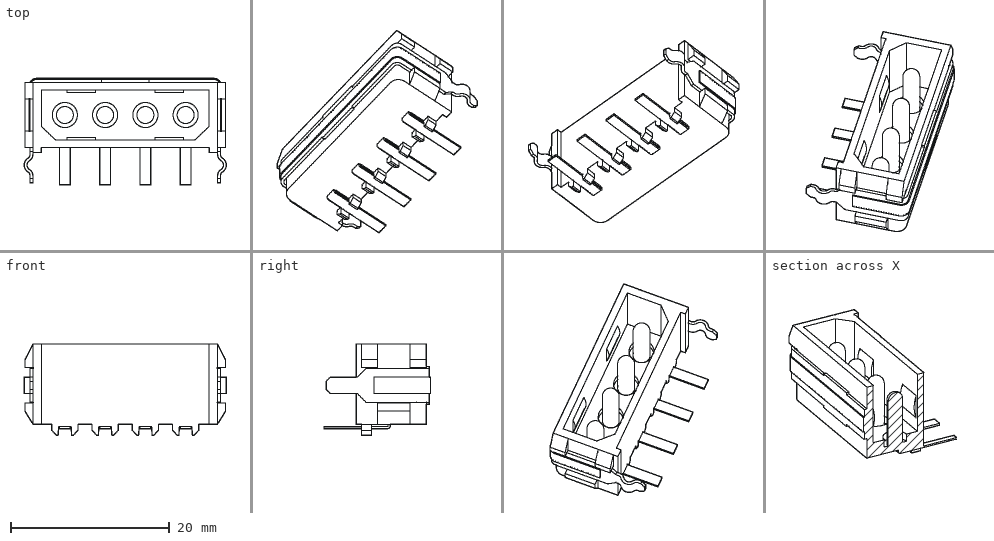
import cadquery as cq
import math

HOUSING_HALF_X = 11.62
HOUSING_HALF_Y = 4.1
HOUSING_HEIGHT = 10.15
LOWER_CORNER_RADIUS = 1.27

CAVITY_HALF_X = 10.58
CAVITY_HALF_Y = 3.15
CAVITY_CUT_X = 1.8
CAVITY_CUT_Y = 1.73
FLOOR_Z = 2.05

RIB_DEPTH = 0.64

BUMP_CENTER_X = 5.55
BUMP_WIDTH = 3.57
BUMP_TOP_Z = 6.95
BUMP_BOTTOM_Z = 3.8
BUMP_DEPTH = 0.3

LUG_HALF_X = 12.65
LUG_INNER_Y = 2.05
UPPER_LUG_BOTTOM_Z = 7.14
UPPER_LUG_SLOPE_Z = 8.15
LOWER_LUG_TOP_Z = 2.7
LOWER_LUG_SLOPE_Z = 1.65

CONTACT_COUNT = 4
CONTACT_PITCH = 5.07
PIN_RADIUS = 1.07
PIN_TOP_Z = 8.35
PIN_RECESS_RADIUS = 1.58
PIN_RECESS_DEPTH = 1.02
TAIL_WIDTH = 1.38
TAIL_THICKNESS = 0.28
TAIL_BACK_Y = -0.43
TAIL_FRONT_Y = -8.82
TAIL_BEND_RADIUS = 0.38

FOOT_HALF_X = 1.65
FOOT_BACK_Y = -2.8
FOOT_BOTTOM_Z = -1.38
FOOT_TAPER_Z = -0.75
FOOT_TIP_OUTER_X = 1.07
FOOT_TIP_INNER_X = 0.85
SLOT_HALF_X = 0.76
SLOT_TOP_Z = -0.28

CLIP_THICKNESS = 0.38
CLIP_MID_Z = 4.92
CLIP_HALF_Z = 2.15
CLIP_BEND_RADIUS = 0.9
CLIP_TAB_HALF_X = 2.98
CLIP_TAB_HALF_Z = 2.4
CLIP_NECK_Y = -3.5
BAND_HALF_Z = 1.05
BAND_THICKNESS = 0.15
BAND_FRONT_Y = -2.5

LEG_HALF_Z = BAND_HALF_Z
LEG_WAVE_START_Y = -4.97
LEG_VALLEY_RADIUS = 0.54
LEG_CREST_RADIUS = 1.05
LEG_REACH_X = 12.75
LEG_END_Y = -8.55
LEG_TIP_CUT = 0.54

clip_half_x = HOUSING_HALF_X + CLIP_THICKNESS
clip_back_y = HOUSING_HALF_Y + CLIP_THICKNESS
contact_xs = [(i - (CONTACT_COUNT - 1) / 2) * CONTACT_PITCH for i in range(CONTACT_COUNT)]


def box(x0, x1, y0, y1, z0, z1):
    """Block between two opposite corners."""
    return cq.Workplane("XY").box(x1 - x0, y1 - y0, z1 - z0, centered=False).translate((x0, y0, z0))


def extrude_along_y(points, y0, y1):
    """XZ outline extruded from y0 to y1."""
    return cq.Workplane("XZ").polyline(points).close().extrude(y0 - y1).translate((0, y0, 0))


def with_mirror_x(shape):
    """The shape joined with its mirror image across X = 0."""
    return shape.union(shape.mirror("YZ"))


def make_housing():
    lower = box(-HOUSING_HALF_X, HOUSING_HALF_X, -HOUSING_HALF_Y, HOUSING_HALF_Y, 0, UPPER_LUG_BOTTOM_Z)
    lower = lower.edges("|Z and >Y").fillet(LOWER_CORNER_RADIUS)
    upper = box(
        -HOUSING_HALF_X, HOUSING_HALF_X, -HOUSING_HALF_Y, HOUSING_HALF_Y, UPPER_LUG_BOTTOM_Z, HOUSING_HEIGHT
    )
    rib = box(
        CAVITY_HALF_X, HOUSING_HALF_X, -HOUSING_HALF_Y - RIB_DEPTH, -HOUSING_HALF_Y, 0, HOUSING_HEIGHT
    )
    cavity = (
        cq.Workplane("XY", origin=(0, 0, FLOOR_Z))
        .polyline([
            (-CAVITY_HALF_X, CAVITY_HALF_Y),
            (CAVITY_HALF_X, CAVITY_HALF_Y),
            (CAVITY_HALF_X, -CAVITY_HALF_Y + CAVITY_CUT_Y),
            (CAVITY_HALF_X - CAVITY_CUT_X, -CAVITY_HALF_Y),
            (-CAVITY_HALF_X + CAVITY_CUT_X, -CAVITY_HALF_Y),
            (-CAVITY_HALF_X, -CAVITY_HALF_Y + CAVITY_CUT_Y),
        ])
        .close()
        .extrude(HOUSING_HEIGHT - FLOOR_Z)
    )
    return lower.union(upper).union(with_mirror_x(rib)).cut(cavity)


def make_bump(wall_y, inward):
    """Bump on a cavity wall; inward is the Y direction (+1 or -1) that points into the cavity."""
    return (
        cq.Workplane("YZ", origin=(BUMP_CENTER_X, 0, 0))
        .moveTo(wall_y, BUMP_BOTTOM_Z)
        .threePointArc(
            (wall_y + inward * BUMP_DEPTH, (BUMP_BOTTOM_Z + BUMP_TOP_Z) / 2),
            (wall_y, BUMP_TOP_Z),
        )
        .close()
        .extrude(BUMP_WIDTH / 2, both=True)
    )


def make_lugs():
    upper_outline = [
        (HOUSING_HALF_X, HOUSING_HEIGHT),
        (LUG_HALF_X, UPPER_LUG_SLOPE_Z),
        (LUG_HALF_X, UPPER_LUG_BOTTOM_Z),
        (HOUSING_HALF_X, UPPER_LUG_BOTTOM_Z),
    ]
    lower_outline = [
        (HOUSING_HALF_X, LOWER_LUG_TOP_Z),
        (LUG_HALF_X, LOWER_LUG_TOP_Z),
        (LUG_HALF_X, LOWER_LUG_SLOPE_Z),
        (HOUSING_HALF_X, 0),
    ]
    lugs = extrude_along_y(upper_outline, LUG_INNER_Y, HOUSING_HALF_Y)
    lugs = lugs.union(extrude_along_y(upper_outline, -HOUSING_HALF_Y, -LUG_INNER_Y))
    lugs = lugs.union(extrude_along_y(lower_outline, -LUG_INNER_Y, LUG_INNER_Y))
    return with_mirror_x(lugs)


def make_foot():
    """Pair of tapered prongs joined by a bridge, centred on X = 0."""
    prong = extrude_along_y(
        [
            (0, 0),
            (FOOT_HALF_X, 0),
            (FOOT_HALF_X, FOOT_TAPER_Z),
            (FOOT_TIP_OUTER_X, FOOT_BOTTOM_Z),
            (FOOT_TIP_INNER_X, FOOT_BOTTOM_Z),
            (SLOT_HALF_X, SLOT_TOP_Z),
            (0, SLOT_TOP_Z),
        ],
        -HOUSING_HALF_Y,
        FOOT_BACK_Y,
    )
    bridge = box(
        -SLOT_HALF_X, SLOT_HALF_X, -HOUSING_HALF_Y, TAIL_BACK_Y - TAIL_THICKNESS, SLOT_TOP_Z, 0
    )
    return with_mirror_x(prong).union(bridge)


def make_pin():
    """Round-tipped pin standing on the bottom of its recess."""
    base_z = FLOOR_Z - PIN_RECESS_DEPTH
    tip_center_z = PIN_TOP_Z - PIN_RADIUS
    shaft = cq.Workplane("XY", origin=(0, 0, base_z)).circle(PIN_RADIUS).extrude(tip_center_z - base_z)
    return shaft.union(cq.Workplane("XY", origin=(0, 0, tip_center_z)).sphere(PIN_RADIUS))


def make_pin_recess():
    return (
        cq.Workplane("XY", origin=(0, 0, FLOOR_Z - PIN_RECESS_DEPTH))
        .circle(PIN_RECESS_RADIUS)
        .extrude(PIN_RECESS_DEPTH)
    )


def make_tail():
    """Flat solder tail, bent forward under the housing."""
    bottom_z = SLOT_TOP_Z - TAIL_THICKNESS
    half = TAIL_WIDTH / 2
    drop = box(-half, half, TAIL_BACK_Y - TAIL_THICKNESS, TAIL_BACK_Y, bottom_z, 0)
    run = box(-half, half, TAIL_FRONT_Y, TAIL_BACK_Y, bottom_z, SLOT_TOP_Z)
    return drop.union(run).edges("|X and >Y and <Z").fillet(TAIL_BEND_RADIUS)


def make_wrap(outer_x, outer_y, front_y, thickness, bend_radius, half_z):
    """U-shaped strip around the back corners, with its outer faces at outer_x and outer_y."""
    outer = box(-outer_x, outer_x, front_y, outer_y, CLIP_MID_Z - half_z, CLIP_MID_Z + half_z)
    outer = outer.edges("|Z and >Y").fillet(bend_radius)
    inner_x = outer_x - thickness
    inner = box(
        -inner_x, inner_x, front_y, outer_y - thickness, CLIP_MID_Z - half_z, CLIP_MID_Z + half_z
    )
    inner = inner.edges("|Z and >Y").fillet(bend_radius - thickness)
    return outer.cut(inner)


def make_leg():
    """Right-hand clip leg: a strip that makes one rounded wave outward and ends in a tapered tip."""
    reach = LEG_REACH_X - clip_half_x
    turn = math.acos(1 - reach / (LEG_VALLEY_RADIUS + LEG_CREST_RADIUS))
    valley_x = clip_half_x + LEG_VALLEY_RADIUS
    crest_x = LEG_REACH_X - LEG_CREST_RADIUS
    half_wave = (LEG_VALLEY_RADIUS + LEG_CREST_RADIUS) * math.sin(turn)
    crest_y = LEG_WAVE_START_Y - half_wave
    wave_end_y = crest_y - half_wave

    def on_valley(radius, angle, center_y, side):
        return (valley_x - radius * math.cos(angle), center_y - side * radius * math.sin(angle))

    def on_crest(radius, angle):
        return (crest_x + radius * math.cos(angle), crest_y + radius * math.sin(angle))

    outer_valley = LEG_VALLEY_RADIUS
    outer_crest = LEG_CREST_RADIUS
    inner_valley = LEG_VALLEY_RADIUS + CLIP_THICKNESS
    inner_crest = LEG_CREST_RADIUS - CLIP_THICKNESS
    strip = (
        cq.Workplane("XY", origin=(0, 0, CLIP_MID_Z - LEG_HALF_Z))
        .moveTo(clip_half_x, CLIP_NECK_Y)
        .lineTo(clip_half_x, LEG_WAVE_START_Y)
        .threePointArc(
            on_valley(outer_valley, turn / 2, LEG_WAVE_START_Y, 1),
            on_valley(outer_valley, turn, LEG_WAVE_START_Y, 1),
        )
        .threePointArc(on_crest(outer_crest, 0), on_crest(outer_crest, -turn))
        .threePointArc(
            on_valley(outer_valley, turn / 2, wave_end_y, -1),
            on_valley(outer_valley, 0, wave_end_y, -1),
        )
        .lineTo(clip_half_x, LEG_END_Y)
        .lineTo(HOUSING_HALF_X, LEG_END_Y)
        .lineTo(HOUSING_HALF_X, wave_end_y)
        .threePointArc(
            on_valley(inner_valley, turn / 2, wave_end_y, -1),
            on_valley(inner_valley, turn, wave_end_y, -1),
        )
        .threePointArc(on_crest(inner_crest, 0), on_crest(inner_crest, turn))
        .threePointArc(
            on_valley(inner_valley, turn / 2, LEG_WAVE_START_Y, 1),
            on_valley(inner_valley, 0, LEG_WAVE_START_Y, 1),
        )
        .lineTo(HOUSING_HALF_X, CLIP_NECK_Y)
        .close()
        .extrude(2 * LEG_HALF_Z)
    )
    return strip.faces("<Y").edges("|X").chamfer(LEG_TIP_CUT)


def make_clip():
    neck_length = CLIP_HALF_Z - LEG_HALF_Z
    plate = make_wrap(
        clip_half_x, clip_back_y, CLIP_NECK_Y - neck_length, CLIP_THICKNESS, CLIP_BEND_RADIUS, CLIP_HALF_Z
    )
    plate = plate.faces("<Y").edges("|X").chamfer(neck_length)
    band = make_wrap(
        clip_half_x + BAND_THICKNESS,
        clip_back_y + BAND_THICKNESS,
        BAND_FRONT_Y,
        BAND_THICKNESS,
        CLIP_BEND_RADIUS + BAND_THICKNESS,
        BAND_HALF_Z,
    )
    tab = box(
        -CLIP_TAB_HALF_X,
        CLIP_TAB_HALF_X,
        HOUSING_HALF_Y,
        clip_back_y,
        CLIP_MID_Z - CLIP_TAB_HALF_Z,
        CLIP_MID_Z + CLIP_TAB_HALF_Z,
    )
    return plate.union(band).union(tab).union(with_mirror_x(make_leg()))


result = make_housing().union(make_lugs())
result = result.union(with_mirror_x(make_bump(CAVITY_HALF_Y, -1)))
result = result.union(with_mirror_x(make_bump(-CAVITY_HALF_Y, 1)))
for x in contact_xs:
    result = result.cut(make_pin_recess().translate((x, 0, 0)))
    for piece in (make_pin(), make_foot(), make_tail()):
        result = result.union(piece.translate((x, 0, 0)))
result = result.union(make_clip())